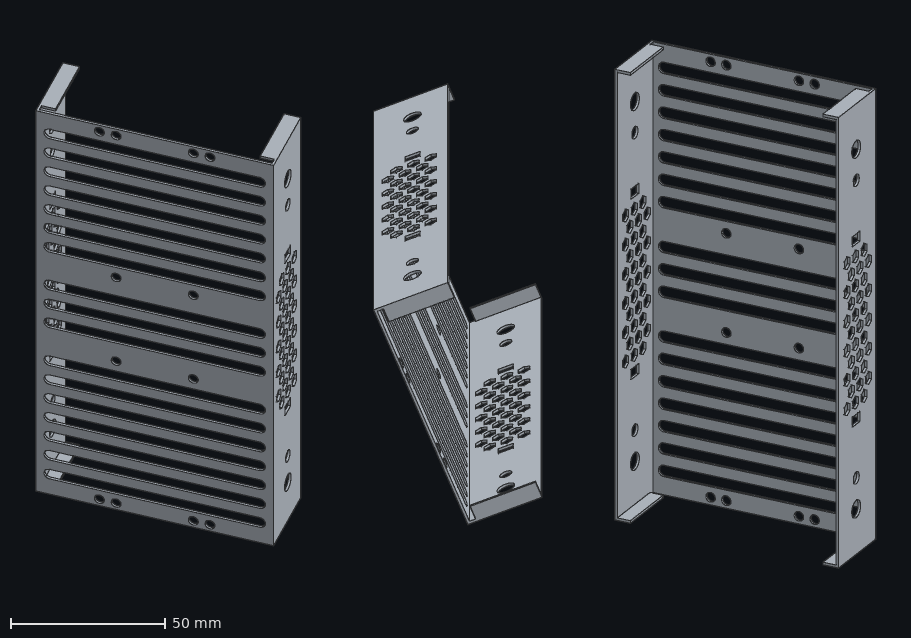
import cadquery as cq
import math

width = 82.0
depth = 26.0
height = 160.0
sheet = 1.0

flange_width = 5.8
flange_gap = 3.0

slot_length = 76.2
slot_width = 4.0
last_slot_z = 71.5
slots_each_side = 9
solid_slot_place = 2

panel_hole_diameter = 3.4
inner_hole_x = 13.3
outer_hole_x = 19.0
end_hole_z = 77.3
middle_hole_z = 17.6

wall_hole_y = 0.6
large_hole_diameter = 6.0
large_hole_z = 63.8
small_hole_diameter = 4.2
small_hole_z = 52.8
window_depth = 5.3
window_height = 3.5
window_z = 32.0

vent_hole_flats = 4.0
vent_center_y = -0.5
vent_end_z = 26.0
vent_rows_each_side = 5
vent_columns = 3
cos_30 = math.cos(math.radians(30))


def make_shell():
    """Front panel with two side walls and an inward flange at each wall end."""
    front_y = -depth / 2
    outer = cq.Workplane("XY").box(width, depth, height)
    cavity = cq.Workplane("XY").box(width - 2 * sheet, depth, height).translate((0, sheet, 0))
    shell = outer.cut(cavity)
    flange_depth = depth - flange_gap
    for side in (-1, 1):
        for end in (-1, 1):
            flange = cq.Workplane("XY").box(flange_width, flange_depth, sheet)
            shell = shell.union(flange.translate((
                side * (width - flange_width) / 2,
                front_y + flange_gap + flange_depth / 2,
                end * (height - sheet) / 2,
            )))
    return shell


def panel_cutters():
    """Slots and round holes that pass through the front panel only."""
    slot_pitch = last_slot_z / slots_each_side
    slot_points = [
        (0, place * slot_pitch)
        for place in range(-slots_each_side, slots_each_side + 1)
        if abs(place) != solid_slot_place
    ]
    hole_points = []
    for side in (-1, 1):
        for end in (-1, 1):
            hole_points.append((side * inner_hole_x, end * middle_hole_z))
            hole_points.append((side * inner_hole_x, end * end_hole_z))
            hole_points.append((side * outer_hole_x, end * end_hole_z))
    plane = cq.Workplane("XZ", origin=(0, -depth / 2 + sheet, 0))
    slots = plane.pushPoints(slot_points).slot2D(slot_length, slot_width).extrude(sheet)
    holes = plane.pushPoints(hole_points).circle(panel_hole_diameter / 2).extrude(sheet)
    return slots.add(holes)


def honeycomb_points():
    """Centers of the vent holes; alternate rows are staggered by half a pitch."""
    row_pitch = vent_end_z / vent_rows_each_side
    hole_pitch = row_pitch / cos_30
    points = []
    for row in range(-vent_rows_each_side, vent_rows_each_side + 1):
        stagger = hole_pitch / 4 if row % 2 else -hole_pitch / 4
        for column in range(vent_columns):
            offset = (column - (vent_columns - 1) / 2) * hole_pitch
            points.append((vent_center_y + stagger + offset, row * row_pitch))
    return points


def hexagon_corners(center_y, center_z):
    """Corners of one vent hole, with a corner pointing up and flats at its sides."""
    corner_radius = vent_hole_flats / 2 / cos_30
    angles = [math.radians(60 * corner) for corner in range(6)]
    return [
        (center_y + corner_radius * math.sin(angle), center_z + corner_radius * math.cos(angle))
        for angle in angles
    ]


def wall_cutters():
    """Cutters that pass through both side walls."""
    plane = cq.Workplane("YZ", origin=(-width / 2, 0, 0))

    def mirrored_places(z):
        return plane.pushPoints([(wall_hole_y, -z), (wall_hole_y, z)])

    large = mirrored_places(large_hole_z).circle(large_hole_diameter / 2).extrude(width)
    small = mirrored_places(small_hole_z).circle(small_hole_diameter / 2).extrude(width)
    windows = mirrored_places(window_z).rect(window_depth, window_height).extrude(width)
    cutters = large.add(small).add(windows)
    for y, z in honeycomb_points():
        cutters = cutters.add(plane.polyline(hexagon_corners(y, z)).close().extrude(width))
    return cutters


result = make_shell()
for cutter in panel_cutters().vals() + wall_cutters().vals():
    result = result.cut(cq.Workplane(cutter))